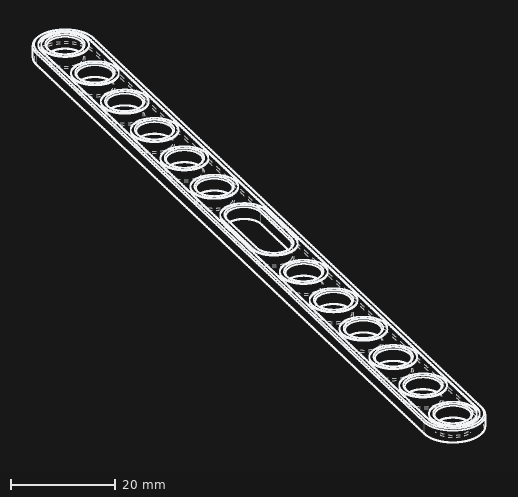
import cadquery as cq

pitch = 12.5
grid_positions = 14
beam_width = pitch
beam_thickness = pitch / 4
beam_length = grid_positions * pitch
edge_chamfer = 0.3

hole_diameter = 7.0
collar_diameter = 9.2

slot_positions = (6, 7)
slot_center_distance = pitch

rim_width = 1.1
pocket_depth = 0.2
pocket_floor = beam_thickness - pocket_depth


def grid_x(index):
    """X of a grid position, counted from the -X end of the beam."""
    return (index - (grid_positions - 1) / 2) * pitch


hole_points = [(grid_x(i), 0) for i in range(grid_positions) if i not in slot_positions]


def rounded_bar(center_distance, width, height, bottom):
    """Upright bar with fully round ends, centred on the Z axis."""
    return (
        cq.Workplane("XY")
        .workplane(offset=bottom)
        .slot2D(center_distance + width, width)
        .extrude(height)
    )


def hole_pattern(diameter, height, bottom):
    """Cylinders on every hole position, plus the matching bar on the slot."""
    cylinders = (
        cq.Workplane("XY")
        .workplane(offset=bottom)
        .pushPoints(hole_points)
        .circle(diameter / 2)
        .extrude(height)
    )
    return cylinders.union(rounded_bar(slot_center_distance, diameter, height, bottom))


def chamfered_beam():
    """Beam with its openings, every top and bottom edge chamfered."""
    blank = rounded_bar(beam_length - beam_width, beam_width, beam_thickness, 0)
    drilled = blank.cut(hole_pattern(hole_diameter, beam_thickness, 0))
    return drilled.faces("|Z").edges().chamfer(edge_chamfer)


def pocket():
    """Volume removed from the top face, leaving the rim and the collars."""
    pocket_width = beam_width - 2 * rim_width
    area = rounded_bar(beam_length - beam_width, pocket_width, pocket_depth, pocket_floor)
    collars = hole_pattern(collar_diameter, pocket_depth, pocket_floor)
    return area.cut(collars)


result = chamfered_beam().cut(pocket())